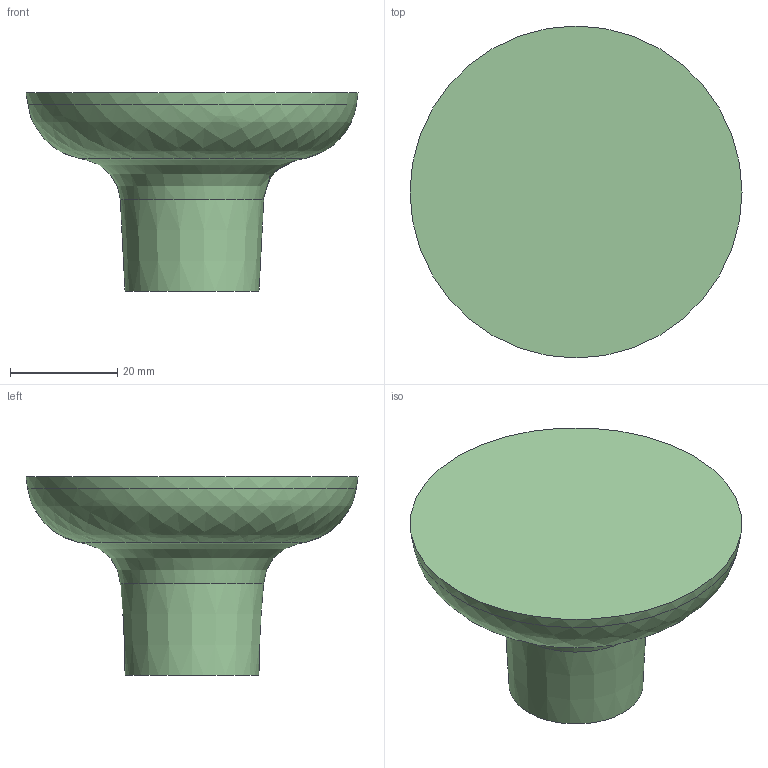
import cadquery as cq
import math

height = 37.0
rim_radius = 31.0
stem_base_radius = 12.5
underside_apex_height = 20.3
bowl_radius = 12.0
neck_radius = 8.0

stem_draft = math.tan(math.radians(3.0))
rim_draft = math.tan(math.radians(8.0))
underside_slope = math.tan(math.radians(12.0))


def meet_underside(radius_at_bottom, draft):
    """Profile point where a tapered wall crosses the head's underside cone."""
    radius = (radius_at_bottom + draft * underside_apex_height) / (1 - draft * underside_slope)
    return (radius, underside_apex_height + underside_slope * radius)


def make_knob():
    """Revolve the sharp-cornered half profile, given as (radius, height) points."""
    neck_corner = meet_underside(stem_base_radius, stem_draft)
    bowl_corner = meet_underside(rim_radius - rim_draft * height, rim_draft)
    profile = (
        cq.Workplane("XZ")
        .lineTo(stem_base_radius, 0)
        .lineTo(*neck_corner)
        .lineTo(*bowl_corner)
        .lineTo(rim_radius, height)
        .lineTo(0, height)
        .close()
    )
    knob = profile.revolve(360, (0, 0, 0), (0, 1, 0))
    return round_corner(round_corner(knob, bowl_corner, bowl_radius), neck_corner, neck_radius)


def round_corner(body, corner, radius):
    """Fillet the circular edge traced by one corner of the profile."""
    corner_radius, corner_height = corner
    margin = 0.1
    reach = corner_radius + margin
    edges = cq.selectors.BoxSelector(
        (-reach, -reach, corner_height - margin),
        (reach, reach, corner_height + margin),
    )
    return body.edges(edges).fillet(radius)


result = make_knob()